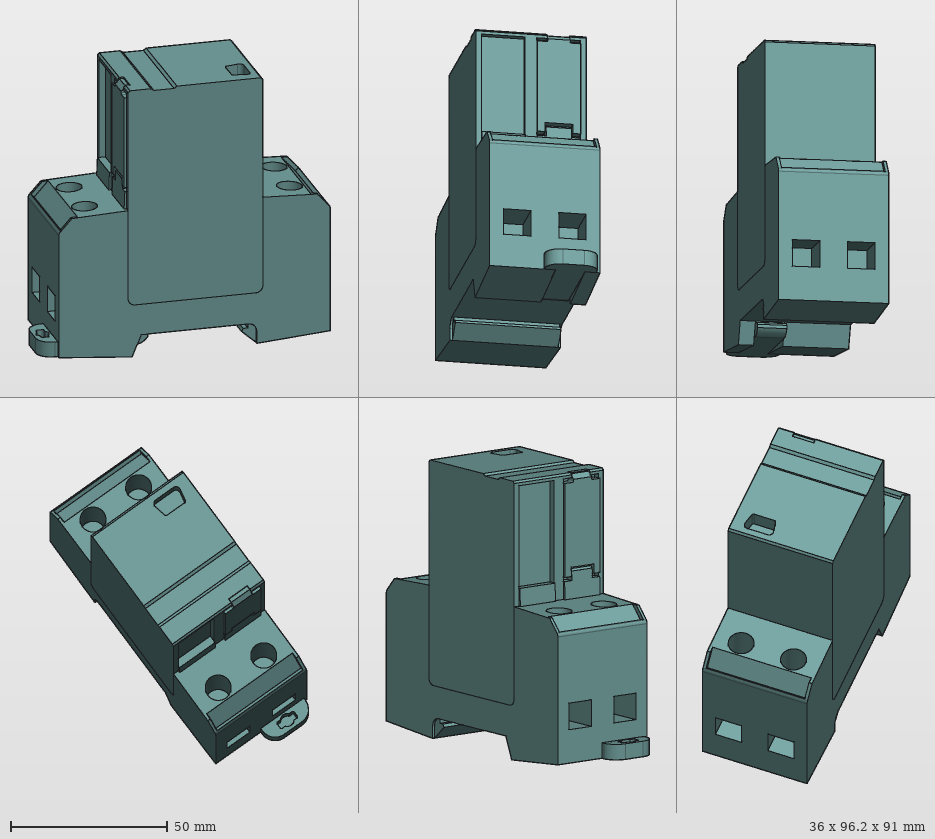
import cadquery as cq
import math

width = 36.0
total_height = 91.0
rear_y = 48.1
front_y = -42.15
housing_mid_y = (rear_y + front_y) / 2
overshoot = 1.0
poles_x = (-width / 4, width / 4)
right_pole_x = poles_x[1]

module_rear_y = 25.7
module_front_y = -19.15
module_bottom_z = 17.7
module_bottom_radius = 2.4
module_top_chamfer = 0.7
grip_rear_y = -2.9
grip_front_y = -11.5
grip_slope = 1.0
grip_depth = 0.7
top_pocket_rear_y = 22.9
top_pocket_front_y = 16.7
top_pocket_rear_width = 10.5
top_pocket_front_width = 8.0
top_pocket_rear_radius = 1.4
top_pocket_front_radius = 0.7
top_pocket_depth = 5.1

shoulder_inner_z = 50.1
shoulder_outer_z = 49.4
bevel_width = 4.3
bevel_height = 4.7
bevel_bottom_z = shoulder_outer_z - bevel_height
bevel_radius = 1.7
wall_bottom_z = 2.2
rear_foot_z = 0.4
front_foot_y = -17.8
rail_z = 7.3
rail_front_y = -14.7
rail_rear_y = 23.7
rail_rear_radius = 2.9
screw_diameter = 8.3
screw_offset = 34.1
screw_bottom_z = 28.9
wire_width = 8.95
wire_height = 8.7
wire_z = 17.5
wire_depth = 13.5
marker_side_wall = 1.1
marker_ledge = 1.0
marker_depth = 1.4

window_width = 14.1
window_depth = 2.1
window_top_z = 89.4
window_floor_y = module_front_y + window_depth
plate_reach = 0.8
plate_front_y = module_front_y - plate_reach
plate_top_z = 56.0
plate_lean = 0.04
latch_width = 8.3
latch_top_z = 59.8
latch_chamfer = 0.7
flap_bottom_z = 57.4
flap_shoulder_z = 88.05
flap_notch_width = 9.0
flap_notch_top_z = 60.4
flap_tab_width = 7.3
flap_tab_z = 90.6
flap_tab_bevel = 1.5
flap_corner_radius = 0.5

clip_x = 8.3
clip_bar_width = 9.5
clip_tab_width = 17.0
clip_tab_front_y = -48.1
clip_tab_radius = 5.0
clip_nose_y = -11.2
clip_nose_chamfer = 1.0
clip_nose_root_z = 6.9
clip_nose_top_z = 6.35
clip_nose_side_z = (5.6, 4.5)
clip_cheek = (-13.1, 2.8)
clip_belly_y = -15.4
clip_slot_y = -44.8
clip_slot_length = 6.7
clip_slot_width = 2.6
clip_slot_bore = 4.2
clip_slot_radius = 0.5
clip_slot_depth = 3.85
hook_side_gap = 0.8
hook_neck_y = 20.9
hook_shelf_z = 5.7
hook_shelf_y = 19.3
hook_tip_y = 18.8
hook_tip_z = 4.7


def across(profile, size, mid_x=0.0):
    """Extrude a closed (Y, Z) profile along X, centred on mid_x."""
    return profile.extrude(size / 2, both=True).translate((mid_x, 0, 0))


def polygon(points):
    return cq.Workplane("YZ").polyline(points).close()


def block(x_range, y_range, z_range):
    """Box given by its limits along each axis."""
    limits = (x_range, y_range, z_range)
    sizes = [high - low for low, high in limits]
    corner = [low for low, high in limits]
    return cq.Workplane("XY").box(*sizes, centered=False).translate(tuple(corner))


def span(middle, size):
    return (middle - size / 2, middle + size / 2)


def mirrored_y(shape):
    """Reflect a shape about the middle of the housing depth."""
    return shape.mirror("XZ", (0, housing_mid_y, 0))


def module_blank():
    """Module outline without its pockets; also the shape of its bay in the housing."""
    c = module_top_chamfer
    grip_z = total_height - grip_depth
    blank = across(polygon([
        (module_rear_y, module_bottom_z),
        (module_rear_y, total_height - c),
        (module_rear_y - c, total_height),
        (grip_rear_y, total_height),
        (grip_rear_y - grip_slope, grip_z),
        (grip_front_y + grip_slope, grip_z),
        (grip_front_y, total_height),
        (module_front_y + c, total_height),
        (module_front_y, total_height - c),
        (module_front_y, module_bottom_z),
    ]), width)
    return blank.edges("|X and <Z").fillet(module_bottom_radius)


def top_pocket():
    """Tapered pocket in the module top."""
    rear_half = top_pocket_rear_width / 2
    front_half = top_pocket_front_width / 2
    pocket = (
        cq.Workplane("XY", origin=(right_pole_x, 0, total_height))
        .polyline([
            (-rear_half, top_pocket_rear_y),
            (rear_half, top_pocket_rear_y),
            (front_half, top_pocket_front_y),
            (-front_half, top_pocket_front_y),
        ])
        .close()
        .extrude(-top_pocket_depth)
    )
    pocket = pocket.edges("|Z and >Y").fillet(top_pocket_rear_radius)
    return pocket.edges("|Z and <Y").fillet(top_pocket_front_radius)


def make_module():
    body = module_blank().cut(top_pocket())
    window_y = (module_front_y - overshoot, window_floor_y)
    for x in poles_x:
        window_z = (shoulder_inner_z, window_top_z)
        body = body.cut(block(span(x, window_width), window_y, window_z))
    flap_notch_z = (flap_shoulder_z, total_height + overshoot)
    return body.cut(block(span(right_pole_x, flap_tab_width), window_y, flap_notch_z))


def housing_outline():
    arc_centre = (rail_rear_y - rail_rear_radius, rail_z - rail_rear_radius)
    arc_mid = [value + rail_rear_radius * math.sqrt(0.5) for value in arc_centre]
    return (
        cq.Workplane("YZ")
        .moveTo(front_y, wall_bottom_z)
        .lineTo(front_y, bevel_bottom_z)
        .lineTo(front_y + bevel_width, shoulder_outer_z)
        .lineTo(module_front_y, shoulder_inner_z)
        .lineTo(module_rear_y, shoulder_inner_z)
        .lineTo(rear_y - bevel_width, shoulder_outer_z)
        .lineTo(rear_y, bevel_bottom_z)
        .lineTo(rear_y, wall_bottom_z)
        .lineTo(rail_rear_y, rear_foot_z)
        .lineTo(rail_rear_y, arc_centre[1])
        .threePointArc(tuple(arc_mid), (arc_centre[0], rail_z))
        .lineTo(rail_front_y, rail_z)
        .lineTo(front_foot_y, 0)
        .close()
    )


def front_marker_recess():
    """Recess sunk square to the front bevel, open towards the shoulder."""
    length = math.hypot(bevel_width, bevel_height)
    along = (bevel_width / length, bevel_height / length)
    inward = (along[1], -along[0])

    def point(run, sink):
        y = front_y + run * along[0] + sink * inward[0]
        z = bevel_bottom_z + run * along[1] + sink * inward[1]
        return (y, z)

    corners = [
        point(marker_ledge, -marker_depth),
        point(marker_ledge, marker_depth),
        point(2 * length, marker_depth),
        point(2 * length, -marker_depth),
    ]
    return across(polygon(corners), width - 2 * marker_side_wall)


def front_terminal(x):
    """Screw shaft and wire entry of one front terminal."""
    shaft = (
        cq.Workplane("XY", origin=(x, housing_mid_y - screw_offset, screw_bottom_z))
        .circle(screw_diameter / 2)
        .extrude(total_height)
    )
    wire_entry = block(
        span(x, wire_width),
        (front_y, front_y + wire_depth),
        span(wire_z, wire_height),
    )
    return shaft, wire_entry


def make_housing():
    body = across(housing_outline(), width)
    for wall_y in (front_y, rear_y):
        bevel_edge = cq.selectors.NearestToPointSelector((0, wall_y, bevel_bottom_z))
        body = body.edges(bevel_edge).fillet(bevel_radius)
    body = body.cut(module_blank())

    recesses = [front_marker_recess()]
    for x in poles_x:
        recesses.extend(front_terminal(x))
    for recess in recesses:
        body = body.cut(recess).cut(mirrored_y(recess))

    clip_channel = block(span(clip_x, clip_bar_width), (front_y, rail_front_y), (0, rail_z))
    return body.cut(clip_channel)


def plate_face_y(z):
    return plate_front_y + plate_lean * (z - shoulder_inner_z)


def plate_profile(top_z):
    """Plate section from the window floor to its leaning face, standing on the shoulder."""
    shoulder_slope = (shoulder_inner_z - shoulder_outer_z) / (module_front_y - front_y - bevel_width)
    foot_z = shoulder_inner_z - plate_reach * shoulder_slope
    return polygon([
        (window_floor_y, shoulder_inner_z),
        (window_floor_y, top_z),
        (plate_face_y(top_z), top_z),
        (plate_face_y(foot_z), foot_z),
        (module_front_y, shoulder_inner_z),
    ])


def make_plate(x):
    """Plain plate closing the bottom of a window."""
    return across(plate_profile(plate_top_z), window_width, x)


def make_latch_plate(x):
    """Window plate with a tongue that reaches up into the flap."""
    tongue = across(plate_profile(latch_top_z), latch_width, x)
    tongue = tongue.edges("|X and >Z").edges("<Y").chamfer(latch_chamfer)
    return make_plate(x).union(tongue)


def make_flap(x):
    """Window flap with a notch for the latch and a tab reaching into the module top."""
    depth = (plate_front_y, window_floor_y)
    flap = block(span(x, window_width), depth, (flap_bottom_z, flap_shoulder_z))
    tab = block(span(x, flap_tab_width), depth, (flap_shoulder_z, flap_tab_z))
    tab = tab.edges("|X and >Z").edges("<Y").chamfer(flap_tab_bevel)
    flap = flap.union(tab)
    for corner_x in span(x, flap_tab_width):
        corner = cq.selectors.NearestToPointSelector((corner_x, sum(depth) / 2, flap_shoulder_z))
        flap = flap.edges("|Y").edges(corner).fillet(flap_corner_radius)
    notch = block(span(x, flap_notch_width), depth, (flap_bottom_z, flap_notch_top_z))
    return flap.cut(notch)


def clip_finger_hole():
    """Blind slot with a round middle in the top of the finger tab."""
    hole = (
        cq.Workplane("XY", origin=(clip_x, clip_slot_y, rail_z))
        .rect(clip_slot_length, clip_slot_width)
        .extrude(-clip_slot_depth)
        .edges("|Z")
        .fillet(clip_slot_radius)
    )
    bore = (
        cq.Workplane("XY", origin=(clip_x, clip_slot_y, rail_z))
        .circle(clip_slot_bore / 2)
        .extrude(-clip_slot_depth)
    )
    return hole.union(bore)


def make_clip():
    """Sliding rail clip: bar with a rounded nose at the rail and a finger tab in front."""
    nose_upper_z, nose_lower_z = clip_nose_side_z
    bar = (
        cq.Workplane("YZ")
        .moveTo(front_y, wall_bottom_z)
        .lineTo(front_y, rail_z)
        .lineTo(rail_front_y, rail_z)
        .lineTo(rail_front_y, clip_nose_root_z)
        .lineTo(clip_nose_y - clip_nose_chamfer, clip_nose_top_z)
        .lineTo(clip_nose_y, nose_upper_z)
        .lineTo(clip_nose_y, nose_lower_z)
        .threePointArc(clip_cheek, (clip_belly_y, wall_bottom_z))
        .close()
    )
    tab = block(span(clip_x, clip_tab_width), (clip_tab_front_y, front_y), (wall_bottom_z, rail_z))
    tab = tab.edges("|Z and <Y").fillet(clip_tab_radius)
    clip = across(bar, clip_bar_width, clip_x).union(tab)
    return clip.cut(clip_finger_hole())


def make_rail_hook():
    """Fixed hook filling the rear end of the rail seat."""
    profile = polygon([
        (rail_rear_y, rear_foot_z),
        (rail_rear_y, rail_z),
        (hook_neck_y, rail_z),
        (hook_neck_y, hook_shelf_z),
        (hook_shelf_y, hook_shelf_z),
        (hook_tip_y, hook_tip_z),
    ])
    return across(profile, width - 2 * hook_side_gap).cut(across(housing_outline(), width))


housing = make_housing()
module = make_module()
plain_plate = make_plate(poles_x[0])
latch_plate = make_latch_plate(right_pole_x)
flap = make_flap(right_pole_x)
clip = make_clip()
rail_hook = make_rail_hook()

result = cq.Compound.makeCompound([
    housing.val(),
    module.val(),
    plain_plate.val(),
    latch_plate.val(),
    flap.val(),
    clip.val(),
    rail_hook.val(),
])